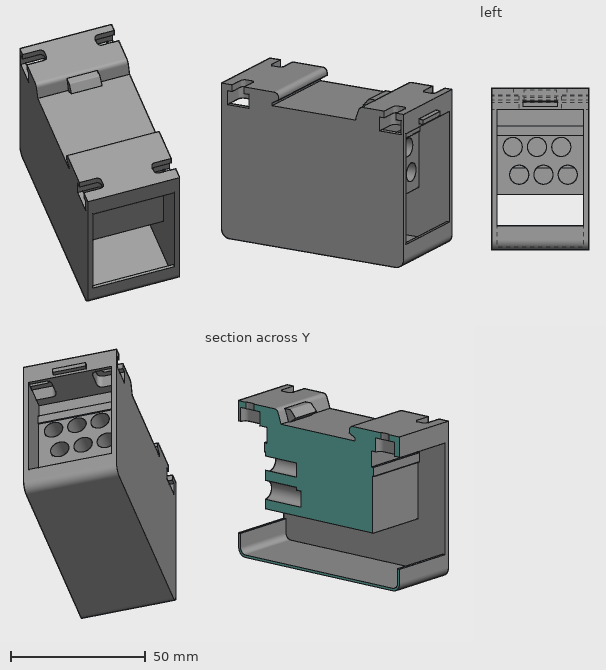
import cadquery as cq
import math

length = 78.0
width = 36.0
height = 60.0
bottom_radius = 3.5

end_wall = 1.14
side_wall = 2.0
floor_thickness = 1.14
ceiling_z = 52.0
inner_width = width - 2 * side_wall
window_bottom_z = 9.0

channel_floor_z = 54.6
left_lip_x = 18.8
left_lip_radius = 2.0
left_channel_x = 20.7
right_channel_x = 56.3
hook_corner_z = 55.6
hook_nose_x = 53.45
hook_nose_z = 57.1
hook_radius = 2.0

latch_width = 12.0
latch_root_x = 18.0
latch_top_z = 59.38
latch_top_x = 21.67
latch_tip_x = 24.2
latch_tip_z = 56.6
latch_foot_x = 21.5
latch_edge_radius = 0.75

nub_reach = 1.61
nub_width = 12.8
nub_bottom_z = 53.2
nub_tip_top_z = 54.9
nub_root_top_z = 55.2

slot_centers_x = (5.7, 70.85)
slot_width = 5.15
slot_depth = 8.1
slot_corner_radius = 1.7
pocket_width = 9.15
pocket_depth = 10.1
pocket_corner_radius = 2.0
pocket_top_z = 57.4

block_inset = 13.0
block_bottom_z = 20.5
block_top_z = 42.4
ledge_inset = 12.5
ledge_top_z = 46.0
bulkhead_inset = 13.6

hole_diameter = 7.1
hole_pitch = 9.0
hole_row_shift = 1.2
upper_row_z = 38.2
lower_row_z = 27.9
hole_depth = 15.0
hole_step_z = 30.4
hole_step_depth = 2.0


def block_between(x_min, x_max, y_min, y_max, z_min, z_max):
    """Box given by its limits along X, Y and Z."""
    corner_box = cq.Workplane("XY").box(x_max - x_min, y_max - y_min, z_max - z_min, centered=False)
    return corner_box.translate((x_min, y_min, z_min))


def extrude_profile(profile, depth):
    """Extrude a closed XZ profile symmetrically about y = 0."""
    return profile.extrude(depth / 2, both=True)


def make_outer_body():
    """Outer housing with the rail channel in its top."""
    hook_center_x = hook_nose_x + hook_radius
    hook_center_z = height - hook_radius
    arc_offset = hook_radius * math.sqrt(0.5)
    profile = (
        cq.Workplane("XZ")
        .moveTo(0, 0)
        .lineTo(length, 0)
        .lineTo(length, height)
        .lineTo(hook_center_x, height)
        .threePointArc(
            (hook_center_x - arc_offset, hook_center_z + arc_offset),
            (hook_nose_x, hook_center_z),
        )
        .lineTo(hook_nose_x, hook_nose_z)
        .lineTo(right_channel_x, hook_corner_z)
        .lineTo(right_channel_x, channel_floor_z)
        .lineTo(left_channel_x, channel_floor_z)
        .lineTo(left_lip_x, height)
        .lineTo(0, height)
        .close()
    )
    body = extrude_profile(profile, width).edges("|Y and <Z").fillet(bottom_radius)
    lip_edge = cq.selectors.NearestToPointSelector((left_lip_x, 0, height))
    return body.edges("|Y").edges(lip_edge).fillet(left_lip_radius)


def make_cavity():
    """Interior space with a window through both end walls."""
    chamber = block_between(
        end_wall, length - end_wall, -inner_width / 2, inner_width / 2, floor_thickness, ceiling_z
    )
    chamber = chamber.edges("|Y and <Z").fillet(bottom_radius - end_wall)
    windows = block_between(0, length, -inner_width / 2, inner_width / 2, window_bottom_z, ceiling_z)
    return chamber.union(windows)


def make_foot_slot(center_x, side):
    """Open slot in the top face with a wider pocket under it; side is the sign of Y."""
    outer_y = side * width / 2
    slot = (
        cq.Workplane("XY", origin=(center_x, outer_y, pocket_top_z))
        .rect(slot_width, 2 * slot_depth)
        .extrude(height - pocket_top_z)
        .edges("|Z")
        .fillet(slot_corner_radius)
    )
    pocket = (
        cq.Workplane("XY", origin=(center_x, outer_y, ceiling_z))
        .rect(pocket_width, 2 * pocket_depth)
        .extrude(pocket_top_z - ceiling_z)
        .edges("|Z")
        .fillet(pocket_corner_radius)
    )
    return slot.union(pocket)


def make_rail_latch():
    """Wedge-shaped latch rooted in the left lip of the channel."""
    profile = cq.Workplane("XZ").polyline(
        [
            (latch_root_x, latch_top_z),
            (latch_top_x, latch_top_z),
            (latch_tip_x, latch_tip_z),
            (latch_foot_x, channel_floor_z),
            (left_channel_x, channel_floor_z),
        ]
    ).close()
    latch = extrude_profile(profile, latch_width)
    top_edge = cq.selectors.NearestToPointSelector((latch_top_x, 0, latch_top_z))
    return latch.edges("|Y").edges(top_edge).fillet(latch_edge_radius)


def make_nub():
    """Small latch nub with a sloping top on the -X end."""
    profile = cq.Workplane("XZ").polyline(
        [
            (0, nub_bottom_z),
            (-nub_reach, nub_bottom_z),
            (-nub_reach, nub_tip_top_z),
            (0, nub_root_top_z),
        ]
    ).close()
    return extrude_profile(profile, nub_width)


def make_wire_hole(center_y, center_z, depth):
    """Blind round hole running along +X from the front face of the terminal block."""
    start = cq.Workplane("YZ", origin=(block_inset, center_y, center_z))
    return start.circle(hole_diameter / 2).extrude(depth)


def make_stepped_hole(center_y, center_z):
    """Wire hole whose end is deeper below the step level than above it."""
    full_depth = hole_depth + hole_step_depth
    end_step = block_between(
        block_inset + hole_depth,
        block_inset + full_depth,
        center_y - hole_diameter / 2,
        center_y + hole_diameter / 2,
        hole_step_z,
        center_z + hole_diameter / 2,
    )
    return make_wire_hole(center_y, center_z, full_depth).cut(end_step)


def make_terminal_block():
    """Stepped terminal block spanning the interior, with its wire entry holes."""
    steps = (
        (block_inset, block_bottom_z, block_top_z),
        (ledge_inset, block_top_z, ledge_top_z),
        (bulkhead_inset, ledge_top_z, ceiling_z),
    )
    terminal = cq.Workplane("XY")
    for inset, bottom_z, top_z in steps:
        step = block_between(inset, length - inset, -inner_width / 2, inner_width / 2, bottom_z, top_z)
        terminal = terminal.union(step)
    for column in (-1, 0, 1):
        column_y = column * hole_pitch
        upper_hole = make_wire_hole(column_y + hole_row_shift, upper_row_z, hole_depth)
        lower_hole = make_stepped_hole(column_y - hole_row_shift, lower_row_z)
        terminal = terminal.cut(upper_hole).cut(lower_hole)
    return terminal


housing = make_outer_body().cut(make_cavity())
for slot_x in slot_centers_x:
    for slot_side in (-1, 1):
        housing = housing.cut(make_foot_slot(slot_x, slot_side))

result = housing.union(make_terminal_block()).union(make_rail_latch()).union(make_nub())